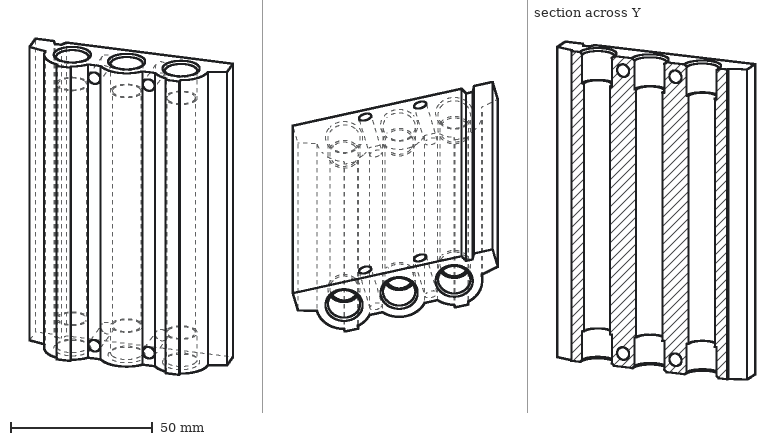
import cadquery as cq

length = 114.0
width = 72.8
depth = 20.0
half_length = length / 2
half_width = width / 2
back_y = depth / 2
front_y = -depth / 2

bore_pitch = 20.1
bore_depth = 9.2
bore_y = back_y - bore_depth
bore_diameter = 10.0
counterbore_diameter = 11.4
counterbore_depth = 11.4
countersink_diameter = 13.1
lobe_radius = 9.9
bore_positions = [-bore_pitch, 0, bore_pitch]

wing_edge_thickness = 7.4
wing_root_x = bore_pitch + lobe_radius

web_thickness = 15.5

rib_width = 5.0

groove_x = -27.4
groove_depth = 2.3
groove_mouth_width = 4.6
groove_floor_width = 2.4

mounting_hole_diameter = 4.5
mounting_hole_end_distance = 5.0


def make_bar():
    """Extrude the constant cross-section, symmetric about the middle bore."""
    body = (
        cq.Workplane("XY")
        .polyline([
            (-half_width, back_y),
            (half_width, back_y),
            (half_width, back_y - wing_edge_thickness),
            (wing_root_x, bore_y),
            (bore_pitch, bore_y),
            (bore_pitch, back_y - web_thickness),
            (-bore_pitch, back_y - web_thickness),
            (-bore_pitch, bore_y),
            (-wing_root_x, bore_y),
            (-half_width, back_y - wing_edge_thickness),
        ])
        .close()
        .extrude(length)
    )
    for x in bore_positions:
        lobe = (
            cq.Workplane("XY")
            .moveTo(x - lobe_radius, bore_y)
            .threePointArc((x, bore_y - lobe_radius), (x + lobe_radius, bore_y))
            .close()
            .extrude(length)
        )
        body = body.union(lobe)
    rib_height = bore_y - front_y
    for x in (-bore_pitch, bore_pitch):
        rib = (
            cq.Workplane("XY")
            .center(x, front_y + rib_height / 2)
            .rect(rib_width, rib_height)
            .extrude(length)
        )
        body = body.union(rib)
    return body.translate((0, 0, -half_length))


def make_bore(x):
    """Revolve a bore with a countersunk counterbore at both ends."""
    bore_radius = bore_diameter / 2
    counterbore_radius = counterbore_diameter / 2
    countersink_radius = countersink_diameter / 2
    countersink_depth = countersink_radius - counterbore_radius
    shoulder_z = half_length - counterbore_depth
    countersink_z = half_length - countersink_depth
    return (
        cq.Workplane("XZ")
        .polyline([
            (0, -half_length),
            (countersink_radius, -half_length),
            (counterbore_radius, -countersink_z),
            (counterbore_radius, -shoulder_z),
            (bore_radius, -shoulder_z),
            (bore_radius, shoulder_z),
            (counterbore_radius, shoulder_z),
            (counterbore_radius, countersink_z),
            (countersink_radius, half_length),
            (0, half_length),
        ])
        .close()
        .revolve(360, (0, 0, 0), (0, 1, 0))
        .translate((x, bore_y, 0))
    )


def make_groove():
    """Full-length groove with sloping sides, open at the back face."""
    floor_y = back_y - groove_depth
    return (
        cq.Workplane("XY")
        .polyline([
            (groove_x - groove_mouth_width / 2, back_y),
            (groove_x - groove_floor_width / 2, floor_y),
            (groove_x + groove_floor_width / 2, floor_y),
            (groove_x + groove_mouth_width / 2, back_y),
        ])
        .close()
        .extrude(half_length, both=True)
    )


def make_mounting_holes():
    """Four front-to-back holes, centred on the webs near both ends."""
    hole_spacing_z = length - 2 * mounting_hole_end_distance
    return (
        cq.Workplane("XZ")
        .rarray(bore_pitch, hole_spacing_z, 2, 2)
        .circle(mounting_hole_diameter / 2)
        .extrude(depth, both=True)
    )


result = make_bar().cut(make_groove()).cut(make_mounting_holes())
for bore_x in bore_positions:
    result = result.cut(make_bore(bore_x))